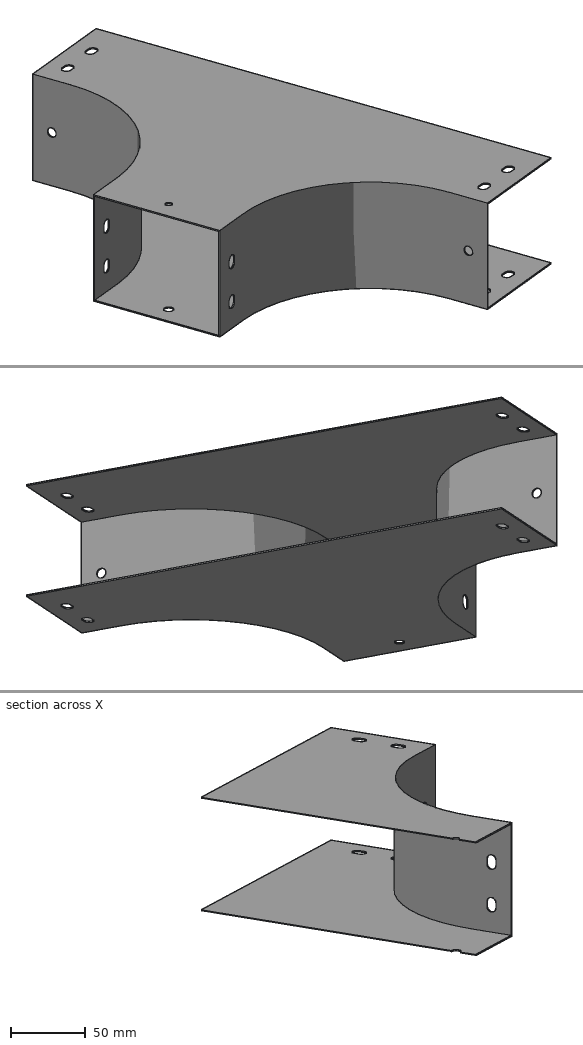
import cadquery as cq
import math

run_length = 360.0
overall_depth = 210.0
height = 80.0
sheet = 1.0

tab_length = 30.0
branch_width = 100.0
bend_radius = (run_length - branch_width) / 2 - tab_length
run_width = overall_depth - tab_length - bend_radius

hole_inset = 15.0
slot_width = 7.0
slot_length = 10.0
slot_offset = 20.0
slot_pitch = 30.0
wall_hole_diameter = 7.0
top_hole_diameter = 5.0
bottom_hole_diameter = 7.0

half_run = run_length / 2
half_branch = branch_width / 2
front = -overall_depth / 2
back = overall_depth / 2
run_front = back - run_width
bend_centre_x = half_branch + bend_radius
bend_centre_y = run_front - bend_radius
slot_positions = (slot_offset, slot_offset + slot_pitch)


def tee(inset):
    """Solid tee whose side walls, top and bottom are moved inwards by inset."""
    radius = bend_radius + inset
    diagonal = radius * math.sqrt(0.5)
    wall_x = half_branch - inset
    wall_y = run_front + inset
    return (
        cq.Workplane("XY")
        .workplane(offset=inset)
        .moveTo(-half_run, back)
        .lineTo(-half_run, wall_y)
        .lineTo(-bend_centre_x, wall_y)
        .threePointArc((-bend_centre_x + diagonal, bend_centre_y + diagonal), (-wall_x, bend_centre_y))
        .lineTo(-wall_x, front)
        .lineTo(wall_x, front)
        .lineTo(wall_x, bend_centre_y)
        .threePointArc((bend_centre_x - diagonal, bend_centre_y + diagonal), (bend_centre_x, wall_y))
        .lineTo(half_run, wall_y)
        .lineTo(half_run, back)
        .close()
        .extrude(height - 2 * inset)
    )


def run_end_slots():
    """Slots through both plates at the two ends of the run."""
    x = half_run - hole_inset
    points = [(side * x, run_front + offset) for side in (-1, 1) for offset in slot_positions]
    return cq.Workplane("XY").pushPoints(points).slot2D(slot_length, slot_width, 90).extrude(height)


def branch_wall_slots():
    """Upright slots through both side walls of the branch."""
    points = [(front + hole_inset, offset) for offset in slot_positions]
    return (
        cq.Workplane("YZ")
        .pushPoints(points)
        .slot2D(slot_length, slot_width, 90)
        .extrude(branch_width, both=True)
    )


def run_wall_holes():
    """Round holes through the front wall tabs at the ends of the run."""
    x = half_run - hole_inset
    return (
        cq.Workplane("XZ", origin=(0, run_front, 0))
        .pushPoints([(-x, height / 2), (x, height / 2)])
        .circle(wall_hole_diameter / 2)
        .extrude(2 * sheet, both=True)
    )


def branch_plate_hole(base, diameter):
    """Round hole in the branch end of the plate that starts at height base."""
    return (
        cq.Workplane("XY", origin=(0, front + hole_inset, base))
        .circle(diameter / 2)
        .extrude(sheet)
    )


result = (
    tee(0)
    .cut(tee(sheet))
    .cut(run_end_slots())
    .cut(branch_wall_slots())
    .cut(run_wall_holes())
    .cut(branch_plate_hole(0, bottom_hole_diameter))
    .cut(branch_plate_hole(height - sheet, top_hole_diameter))
)